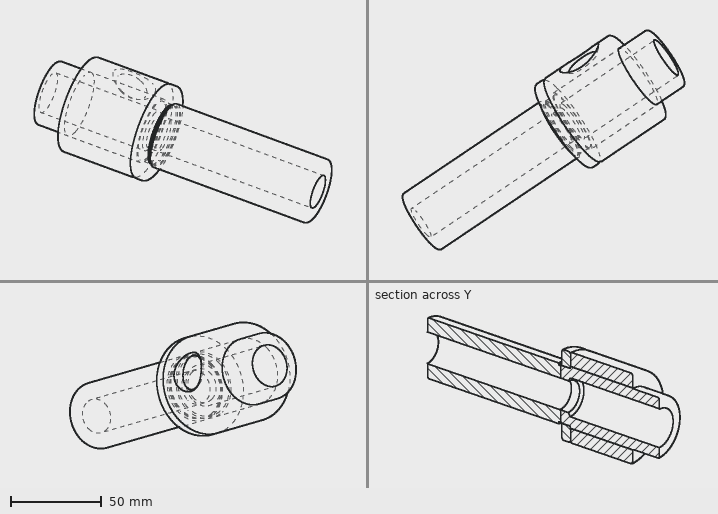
import cadquery as cq
import math

HOUSING_DIAMETER = 55.5
TUBE_DIAMETER = 37.3
NECK_DIAMETER = 34.8
WIDE_BORE_DIAMETER = 23.4
NARROW_BORE_DIAMETER = 19.0

EDGE_RADIUS = 1.5
CAP_REAR_RADIUS = 1.8

TOTAL_LENGTH = 165.6
FRONT_TUBE_OVERHANG = 19.0
HOUSING_LENGTH = 44.5
CAP_LENGTH = 6.3
SPIGOT_OVERHANG = 0.8
NECK_LENGTH = 1.2

FRONT_X = -TOTAL_LENGTH / 2
REAR_X = TOTAL_LENGTH / 2
HOUSING_FRONT_X = FRONT_X + FRONT_TUBE_OVERHANG
CAP_FRONT_X = HOUSING_FRONT_X + HOUSING_LENGTH
CAP_REAR_X = CAP_FRONT_X + CAP_LENGTH
TUBE_JOINT_X = CAP_REAR_X + SPIGOT_OVERHANG
NECK_END_X = TUBE_JOINT_X + NECK_LENGTH

RECESS_DIAMETER = 26.2
RECESS_FLOOR_DIAMETER = 19.0
RECESS_HALF_ANGLE = 45.0
RECESS_FROM_HOUSING_FRONT = 20.0

BORE_CONE_HALF_ANGLE = 59.0


def cylinder(diameter, start_x, end_x):
    """Solid cylinder about the X axis between two stations."""
    return cq.Workplane("YZ", origin=(start_x, 0, 0)).circle(diameter / 2).extrude(end_x - start_x)


def cone(large_diameter, small_diameter, half_angle, large_end, direction):
    """Solid truncated cone that narrows from the centre of its large end along a direction."""
    height = (large_diameter - small_diameter) / 2 / math.tan(math.radians(half_angle))
    solid = cq.Solid.makeCone(
        large_diameter / 2,
        small_diameter / 2,
        height,
        pnt=cq.Vector(*large_end),
        dir=cq.Vector(*direction),
    )
    return cq.Workplane(solid)


def make_housing():
    """Sleeve round the front tube, with rounded ends and a conical recess in its side."""
    body = cylinder(HOUSING_DIAMETER, HOUSING_FRONT_X, CAP_FRONT_X).edges("%CIRCLE").fillet(EDGE_RADIUS)
    recess_centre = (HOUSING_FRONT_X + RECESS_FROM_HOUSING_FRONT, HOUSING_DIAMETER / 2, 0)
    recess = cone(RECESS_DIAMETER, RECESS_FLOOR_DIAMETER, RECESS_HALF_ANGLE, recess_centre, (0, -1, 0))
    bore = cylinder(TUBE_DIAMETER, HOUSING_FRONT_X, CAP_FRONT_X)
    return body.cut(recess).cut(bore)


def make_cap():
    """Ring that closes the rear end of the housing."""
    body = cylinder(HOUSING_DIAMETER, CAP_FRONT_X, CAP_REAR_X)
    body = body.faces("<X").edges().fillet(EDGE_RADIUS)
    body = body.faces(">X").edges().fillet(CAP_REAR_RADIUS)
    return body.cut(cylinder(NECK_DIAMETER, CAP_FRONT_X, CAP_REAR_X))


def make_front_tube():
    """Tube in the housing, with a spigot through the cap and a bore that narrows at the spigot."""
    tube = cylinder(TUBE_DIAMETER, FRONT_X, CAP_FRONT_X).faces("<X").edges().fillet(EDGE_RADIUS)
    spigot = cylinder(NECK_DIAMETER, CAP_FRONT_X, TUBE_JOINT_X)
    wide_bore = cylinder(WIDE_BORE_DIAMETER, FRONT_X, CAP_FRONT_X)
    bore_cone = cone(
        WIDE_BORE_DIAMETER, NARROW_BORE_DIAMETER, BORE_CONE_HALF_ANGLE, (CAP_FRONT_X, 0, 0), (1, 0, 0)
    )
    narrow_bore = cylinder(NARROW_BORE_DIAMETER, CAP_FRONT_X, TUBE_JOINT_X)
    return tube.union(spigot).cut(wide_bore).cut(bore_cone).cut(narrow_bore)


def make_rear_tube():
    """Plain tube behind the cap, with a short neck against the spigot of the front tube."""
    neck = cylinder(NECK_DIAMETER, TUBE_JOINT_X, NECK_END_X)
    tube = cylinder(TUBE_DIAMETER, NECK_END_X, REAR_X).faces(">X").edges().fillet(EDGE_RADIUS)
    bore = cylinder(NARROW_BORE_DIAMETER, TUBE_JOINT_X, REAR_X)
    return neck.union(tube).cut(bore)


housing = make_housing()
cap = make_cap()
front_tube = make_front_tube()
rear_tube = make_rear_tube()

result = cq.Compound.makeCompound([housing.val(), cap.val(), front_tube.val(), rear_tube.val()])